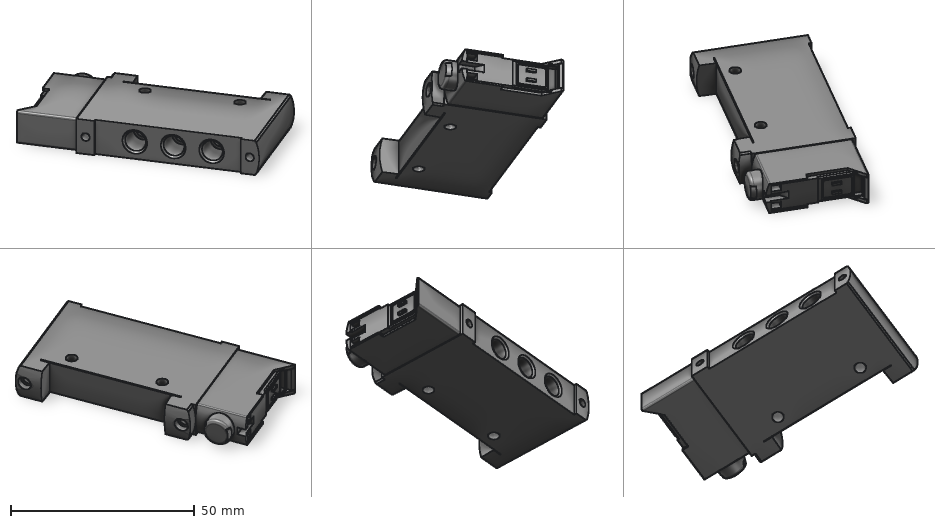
import cadquery as cq
import math

length = 69.3
height = 33.1
thickness = 10.25
half_thick = thickness / 2

plate_width = 5.2
left_plate_x = 17.1
mid_x = (left_plate_x + length) / 2
right_plate_x = length - plate_width
crown_radius = 13.85
crown_chamfer = 0.5
plate_edge_y = 32.4
plate_outer_y = 32.9
tab_base_length = 2.7
tab_tip_length = 2.5
tab_base_y = 27.65
screw_diameter = 2.35
screw_head_diameter = 3.9
screw_head_depth = 2.1
screw_inset = 2.7

body_start_x = left_plate_x + plate_width
body_bottom_y = 0.8
body_edge_chamfer = 0.2
mount_diameter = 3.2
mount_spacing = 27.0
mount_y = 23.5

port_pitch = 10.95
port_mid_x = 44.6
port_mouth_diameter = 7.1
port_diameter = 5.9
port_depth = 8.3
port_core_diameter = 4.2
port_core_depth = 11.1
drill_tip_angle = 118.0

coil_x = 2.3
coil_half_thick = 4.85
coil_edge_y = 28.35
coil_top_y = 29.4
coil_bottom_fillet = 0.6
coil_top_fillet = 0.4
skirt_tip = 0.7
panel_x = 2.7
panel_half = 4.3
panel_top_y = 27.8

opening_x = 4.2
opening_top_y = 17.5
core_thick = 8.1
core_half = core_thick / 2
skirt_top_y = body_bottom_y + skirt_tip
core_bottom_y = skirt_top_y + panel_x

connector_top_y = 14.5
ledge_x = 2.9
ledge_half = 3.7
ledge_slope_x = 3.3
block_top_y = 13.45
block_bottom_y = 4.5
block_half = 3.4
socket_wall = 0.5
socket_depth = 0.2
socket_corner = 0.4
pin_length_y = 2.6
pin_mid_y = 9.2
pin_thick = 0.7
pin_mid_z = 1.45
latch_half = 3.75
latch_bottom_y = 1.8
latch_slope = 0.75

slot_width = 2.3
slot_depth = 2.0
slot_floor_y = 24.75
window_bottom_y = 24.8
window_height_z = 1.9
window_mid_z = 2.9
window_depth = 2.8

button_x = 9.6
button_diameter = 8.1
button_top_y = 32.65
button_fillet = 1.0
button_lean_width = 3.95
button_lean_y = 31.05
button_root = 0.7
button_taper = 20.0


def block(x0, x1, y0, y1, z0, z1):
    """Box between two opposite corners."""
    return cq.Workplane("XY").box(x1 - x0, y1 - y0, z1 - z0, centered=False).translate((x0, y0, z0))


def prism(points, half):
    """XY outline extruded symmetrically about the middle plane."""
    return cq.Workplane("XY").polyline(points).close().extrude(half, both=True)


def arched_bar(x0, x1, y0, y_edge, y_top, half):
    """Bar along X whose +Y side is an arc over the thickness."""
    return (
        cq.Workplane("YZ", origin=(x0, 0, 0))
        .moveTo(y0, -half)
        .lineTo(y_edge, -half)
        .threePointArc((y_top, 0), (y_edge, half))
        .lineTo(y0, half)
        .close()
        .extrude(x1 - x0)
    )


def crowned_plate():
    """Right end plate with its tab, crowned towards +X and +Y."""
    outline = prism(
        [
            (right_plate_x, 0),
            (length, 0),
            (length, plate_outer_y),
            (right_plate_x, height),
            (right_plate_x - tab_tip_length, height),
            (right_plate_x - tab_base_length, tab_base_y),
            (right_plate_x, tab_base_y),
        ],
        half_thick,
    )
    tab_x = right_plate_x - tab_base_length
    arch = arched_bar(tab_x, length, 0, plate_edge_y, height, half_thick)
    crown_half = half_thick - crown_chamfer
    crown_edge_x = length - crown_radius + math.sqrt(crown_radius**2 - crown_half**2)
    flank_x = crown_edge_x - crown_chamfer
    crown = (
        cq.Workplane("XZ")
        .moveTo(tab_x, -half_thick)
        .lineTo(flank_x, -half_thick)
        .lineTo(crown_edge_x, -crown_half)
        .threePointArc((length, 0), (crown_edge_x, crown_half))
        .lineTo(flank_x, half_thick)
        .lineTo(tab_x, half_thick)
        .close()
        .extrude(-height)
    )
    return outline.intersect(arch).intersect(crown)


def end_plates():
    """Mirrored pair; the left one is square where the coil housing covers it."""
    right = crowned_plate()
    left = right.mirror("YZ", (mid_x, 0, 0))
    seat = block(left_plate_x, body_start_x, 0, coil_top_y, -half_thick, half_thick)
    return right.union(left).union(seat)


def screw_holes():
    """Through holes along the end plates, counterbored from the +Y side."""
    places = [(left_plate_x + screw_inset, 0), (length - screw_inset, 0)]
    shanks = cq.Workplane("XZ").pushPoints(places).circle(screw_diameter / 2).extrude(-height)
    heads = (
        cq.Workplane("XZ", origin=(0, height, 0))
        .pushPoints(places)
        .circle(screw_head_diameter / 2)
        .extrude(screw_head_depth)
    )
    return shanks.union(heads)


def valve_body():
    body = block(body_start_x, right_plate_x, body_bottom_y, tab_base_y, -half_thick, half_thick)
    body = body.edges("|X").edges(">Y").chamfer(body_edge_chamfer)
    holes = (
        cq.Workplane("XY")
        .pushPoints([(mid_x - mount_spacing / 2, mount_y), (mid_x + mount_spacing / 2, mount_y)])
        .circle(mount_diameter / 2)
        .extrude(half_thick, both=True)
    )
    return body.cut(holes)


def port(x, pointed):
    """Stepped bore with a countersunk mouth, ending flat or in a drill tip."""
    mouth = port_mouth_diameter / 2
    bore = port_diameter / 2
    core = port_core_diameter / 2
    tip = core / math.tan(math.radians(drill_tip_angle / 2)) if pointed else 0
    return (
        cq.Workplane("XY")
        .polyline(
            [
                (0, 0),
                (mouth, 0),
                (bore, mouth - bore),
                (bore, port_depth),
                (core, port_depth),
                (core, port_core_depth),
                (0, port_core_depth + tip),
            ]
        )
        .close()
        .revolve(360, (0, 0, 0), (0, 1, 0))
        .translate((x, body_bottom_y, 0))
    )


def coil_housing():
    housing = arched_bar(0, left_plate_x, body_bottom_y, coil_edge_y, coil_top_y, coil_half_thick)
    housing = housing.edges("|X").edges("<Y").fillet(coil_bottom_fillet)
    housing = housing.edges("|X").edges(">Y").fillet(coil_top_fillet)
    face = prism(
        [
            (0, body_bottom_y),
            (left_plate_x, body_bottom_y),
            (left_plate_x, coil_top_y),
            (coil_x, coil_top_y),
            (coil_x, skirt_top_y + coil_x),
            (0, skirt_top_y),
        ],
        coil_half_thick,
    )
    housing = housing.intersect(face)

    panel = block(coil_x, panel_x, skirt_top_y, panel_top_y, -panel_half, panel_half)
    opening = prism(
        [
            (0, skirt_top_y),
            (opening_x, skirt_top_y + opening_x),
            (opening_x, opening_top_y),
            (0, opening_top_y),
        ],
        coil_half_thick,
    )
    core = block(panel_x, opening_x, core_bottom_y, opening_top_y, -core_half, core_half)
    return housing.cut(panel).cut(opening).union(core)


def connector_cut():
    """Material removed around the connector block, leaving a ledge with sloped sides."""
    depth = connector_top_y - core_bottom_y
    clearance = block(panel_x, ledge_slope_x, core_bottom_y, connector_top_y, -core_half, core_half)
    ledge = (
        cq.Workplane("XZ", origin=(0, core_bottom_y, 0))
        .polyline(
            [
                (ledge_x, -ledge_half),
                (ledge_x, ledge_half),
                (ledge_slope_x, core_half),
                (ledge_slope_x, -core_half),
            ]
        )
        .close()
        .extrude(-depth)
    )
    raised = block(panel_x, ledge_slope_x, block_bottom_y, block_top_y, -block_half, block_half)
    return clearance.cut(ledge).cut(raised)


def socket_cut():
    half = block_half - socket_wall
    socket = block(
        panel_x,
        panel_x + socket_depth,
        block_bottom_y + socket_wall,
        block_top_y - socket_wall,
        -half,
        half,
    )
    return socket.edges("|X").fillet(socket_corner)


def pins():
    pin = block(
        coil_x,
        opening_x,
        pin_mid_y - pin_length_y / 2,
        pin_mid_y + pin_length_y / 2,
        pin_mid_z - pin_thick / 2,
        pin_mid_z + pin_thick / 2,
    )
    return pin.union(pin.mirror("XY"))


def latch_cut():
    """Recess between the connector and the skirt, sloped at the skirt tip."""
    return prism(
        [
            (0, latch_bottom_y - latch_slope),
            (latch_slope, latch_bottom_y),
            (opening_x, latch_bottom_y),
            (opening_x, core_bottom_y),
            (0, core_bottom_y),
        ],
        latch_half,
    )


def relief_slot():
    """Slot open towards +Y that ramps out to the panel."""
    floor_x = panel_x + slot_depth
    return prism(
        [
            (coil_x, coil_top_y),
            (floor_x, coil_top_y),
            (floor_x, slot_floor_y),
            (panel_x, slot_floor_y - slot_depth),
            (coil_x, slot_floor_y - slot_depth),
        ],
        slot_width / 2,
    )


def windows():
    window = block(
        panel_x,
        panel_x + window_depth,
        window_bottom_y,
        panel_top_y,
        window_mid_z - window_height_z / 2,
        window_mid_z + window_height_z / 2,
    )
    return window.union(window.mirror("XY"))


def button():
    """Round knob whose +X and -X sides lean inwards over a central band."""
    radius = button_diameter / 2
    base_y = coil_edge_y - button_root
    knob = (
        cq.Workplane("XZ", origin=(button_x, base_y, 0))
        .circle(radius)
        .extrude(base_y - button_top_y)
        .faces(">Y")
        .edges()
        .fillet(button_fillet)
    )
    band = block(
        button_x - radius,
        button_x + radius,
        button_lean_y,
        button_top_y,
        -button_lean_width / 2,
        button_lean_width / 2,
    )
    cone = (
        cq.Workplane("XZ", origin=(button_x, button_lean_y, 0))
        .circle(radius)
        .extrude(button_lean_y - button_top_y, taper=button_taper)
    )
    return knob.cut(band.cut(cone))


coil = coil_housing().cut(connector_cut()).cut(socket_cut()).union(pins())
coil = coil.cut(latch_cut()).cut(relief_slot()).cut(windows()).union(button())

body = valve_body()
for index in (-1, 0, 1):
    body = body.cut(port(port_mid_x + index * port_pitch, pointed=index == 0))

result = end_plates().union(body).union(coil).cut(screw_holes())